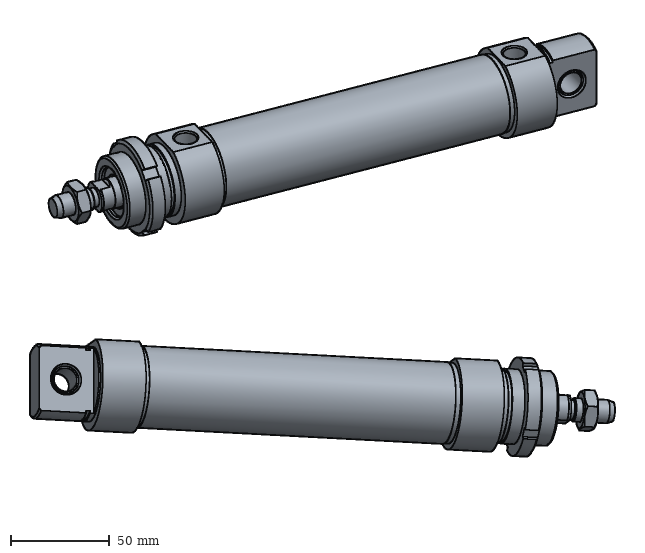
import cadquery as cq
import math


thread_end_chamfer = 3.0
thread_start_y = 21.0
rod_shoulder_y = 23.7
flats_front_y = 24.9
flats_back_y = 31.4
collar_front_y = 33.0
front_cap_y = 63.0
front_cap_length = 22.0
rear_cap_y = 250.5
rear_cap_length = 22.6
overall_length = 302.5
eye_hole_setback = 14.0

front_cap_back_y = front_cap_y + front_cap_length
rear_cap_back_y = rear_cap_y + rear_cap_length
eye_hole_y = overall_length - eye_hole_setback

tube_diameter = 41.6
crimp_diameter = 41.0
crimp_length = 2.6
cap_diameter = 47.0
port_flat_height = 21.3

collar_diameter = 38.0
collar_chamfer = 1.0
groove_diameter = 36.0
groove_width = 2.0
front_groove_offset = 3.5
rear_groove_offset = 2.8

recess_diameter = 26.0
recess_chamfer = 1.0
recess_depth = 2.5
seal_seat_diameter = 18.0
seal_seat_depth = 2.0

port_diameter = 11.45
port_mouth_diameter = 13.0
port_mouth_chamfer = (port_mouth_diameter - port_diameter) / 2
front_port_offset = 12.0
rear_port_offset = 12.5
front_port_y = front_cap_y + front_port_offset
rear_port_y = rear_cap_back_y - rear_port_offset
rear_port_depth = 10.0
front_port_floor = 4.0
drill_point_angle = 118.0

eye_thickness = 18.0
eye_base_thickness = 0.9
eye_hole_diameter = 12.0
eye_mouth_diameter = 16.0
eye_step_diameter = 14.0
eye_mouth_chamfer = (eye_mouth_diameter - eye_step_diameter) / 2

rod_diameter = 16.0
wrench_zone_diameter = 15.5
flats_across = 13.0
tip_diameter = 10.0
neck_diameter = 10.0
thread_root_diameter = 10.65
thread_run_in = 0.6
thread_diameter = 12.0
rod_back_y = front_cap_back_y

ring_nut_diameter = 50.0
ring_nut_front_y = 43.0
ring_nut_thickness = 8.0
ring_nut_face_diameter = 46.6
ring_nut_chamfer_length = 1.0
ring_nut_slot_count = 4
ring_nut_slot_width = 5.5
ring_nut_slot_floor = 23.0

hex_across_flats = 19.0
hex_front_y = 9.9
hex_thickness = 7.0
hex_face_diameter = 18.5
hex_chamfer_angle = 30.0
hex_sides = 6


def turned(profile):
    """Revolve (radius, y) points, closed along the Y axis, into a solid of revolution."""
    return cq.Workplane("XY").polyline(profile).close().revolve(360, (0, 0), (0, 1))


def y_cylinder(diameter, start_y, end_y):
    """Cylinder on the part axis between two stations."""
    return cq.Workplane("XZ", origin=(0, start_y, 0)).circle(diameter / 2).extrude(start_y - end_y)


def groove(start_y):
    """Ring of material that a thread relief removes."""
    outer = y_cylinder(2 * collar_diameter, start_y, start_y + groove_width)
    return outer.cut(y_cylinder(groove_diameter, start_y, start_y + groove_width))


def port_drill(port_y, bottom_z):
    """Vertical port bore with a chamfered mouth at the flat and a drill point at the bottom."""
    radius = port_diameter / 2
    point_height = radius / math.tan(math.radians(drill_point_angle / 2))
    profile = [
        (0, port_flat_height),
        (port_mouth_diameter / 2, port_flat_height),
        (radius, port_flat_height - port_mouth_chamfer),
        (radius, bottom_z),
        (0, bottom_z - point_height),
    ]
    drill = cq.Workplane("XZ").polyline(profile).close().revolve(360, (0, 0), (0, 1))
    return drill.translate((0, port_y, 0))


def cap(start_y, length):
    """End cap with a flat on top for its port."""
    above_flat = cq.Workplane("XY").box(
        cap_diameter, length, cap_diameter, centered=(True, False, False)
    ).translate((0, start_y, port_flat_height))
    return y_cylinder(cap_diameter, start_y, start_y + length).cut(above_flat)


def rear_eye():
    """Rear lug: a chamfered round end flattened on both sides and cross-drilled."""
    lug = y_cylinder(collar_diameter, rear_cap_back_y, overall_length)
    lug = lug.faces(">Y").chamfer(collar_chamfer)
    lug = lug.cut(groove(rear_cap_back_y + rear_groove_offset))
    side = cq.Workplane("XY").box(
        collar_diameter, overall_length, 2 * collar_diameter, centered=(False, False, True)
    )
    flats_start_y = rear_cap_back_y + eye_base_thickness
    lug = lug.cut(side.translate((eye_thickness / 2, flats_start_y, 0)))
    lug = lug.cut(side.translate((-eye_thickness / 2 - collar_diameter, flats_start_y, 0)))
    half = eye_thickness / 2
    bore_profile = [
        (0, -half),
        (eye_mouth_diameter / 2, -half),
        (eye_step_diameter / 2, -half + eye_mouth_chamfer),
        (eye_hole_diameter / 2, -half + eye_mouth_chamfer),
        (eye_hole_diameter / 2, half - eye_mouth_chamfer),
        (eye_step_diameter / 2, half - eye_mouth_chamfer),
        (eye_mouth_diameter / 2, half),
        (0, half),
    ]
    bore = cq.Workplane("YX").polyline(bore_profile).close().revolve(360, (0, 0), (0, 1))
    return lug.cut(bore.translate((0, eye_hole_y, 0)))


def make_housing():
    """Tube, both end caps, threaded front collar and rear eye in one solid."""
    tube = y_cylinder(tube_diameter, front_cap_back_y + crimp_length, rear_cap_y - crimp_length)
    crimps = y_cylinder(crimp_diameter, front_cap_back_y, rear_cap_y)
    collar = y_cylinder(collar_diameter, collar_front_y, front_cap_y)
    collar = collar.faces("<Y").chamfer(collar_chamfer)
    collar = collar.cut(groove(front_cap_y - front_groove_offset - groove_width))

    body = tube.union(crimps).union(collar).union(rear_eye())
    body = body.union(cap(front_cap_y, front_cap_length)).union(cap(rear_cap_y, rear_cap_length))

    recess_radius = recess_diameter / 2
    recess_floor_y = collar_front_y + recess_depth
    recess = turned([
        (0, collar_front_y),
        (recess_radius + recess_chamfer, collar_front_y),
        (recess_radius, collar_front_y + recess_chamfer),
        (recess_radius, recess_floor_y),
        (seal_seat_diameter / 2, recess_floor_y),
        (seal_seat_diameter / 2, recess_floor_y + seal_seat_depth),
        (0, recess_floor_y + seal_seat_depth),
    ])
    body = body.cut(recess).cut(y_cylinder(rod_diameter, collar_front_y, rod_back_y))
    body = body.cut(port_drill(front_port_y, front_port_floor))
    return body.cut(port_drill(rear_port_y, port_flat_height - rear_port_depth))


def make_rod():
    """Piston rod with two wrench flats, a thread relief and a threaded tip."""
    rod_radius = rod_diameter / 2
    zone_radius = wrench_zone_diameter / 2
    neck_radius = neck_diameter / 2
    tip_radius = tip_diameter / 2
    root_radius = thread_root_diameter / 2
    thread_radius = thread_diameter / 2
    rod = turned([
        (0, 0),
        (tip_radius, 0),
        (thread_radius, thread_end_chamfer),
        (thread_radius, thread_start_y - thread_run_in),
        (root_radius, thread_start_y),
        (neck_radius, thread_start_y),
        (neck_radius, rod_shoulder_y),
        (rod_radius, rod_shoulder_y),
        (rod_radius, flats_front_y),
        (zone_radius, flats_front_y),
        (zone_radius, flats_back_y),
        (rod_radius, flats_back_y),
        (rod_radius, rod_back_y),
        (0, rod_back_y),
    ])
    flat_depth = (rod_diameter - flats_across) / 2
    milled = (
        cq.Workplane("YZ")
        .polyline([
            (rod_shoulder_y, flats_across / 2),
            (flats_back_y - flat_depth, flats_across / 2),
            (flats_back_y, rod_radius),
            (rod_shoulder_y, rod_radius),
        ])
        .close()
        .extrude(rod_radius, both=True)
    )
    return rod.cut(milled).cut(milled.mirror("XY"))


def make_ring_nut():
    """Slotted round nut on the front collar, chamfered at its front rim."""
    outer = ring_nut_diameter / 2
    inner = collar_diameter / 2
    back_y = ring_nut_front_y + ring_nut_thickness
    nut = turned([
        (inner, ring_nut_front_y),
        (ring_nut_face_diameter / 2, ring_nut_front_y),
        (outer, ring_nut_front_y + ring_nut_chamfer_length),
        (outer, back_y),
        (inner, back_y),
    ])
    slot = cq.Workplane("XY").box(
        ring_nut_slot_width, ring_nut_thickness, outer, centered=(True, False, False)
    ).translate((0, ring_nut_front_y, ring_nut_slot_floor))
    pitch = 360 / ring_nut_slot_count
    for index in range(ring_nut_slot_count):
        nut = nut.cut(slot.rotate((0, 0, 0), (0, 1, 0), pitch / 2 + index * pitch))
    return nut


def make_hex_nut():
    """Hexagon nut on the rod thread, chamfered at both faces, with flats facing up and down."""
    across_corners = hex_across_flats / math.cos(math.pi / hex_sides)
    back_y = hex_front_y + hex_thickness
    nut = (
        cq.Workplane("XZ", origin=(0, back_y, 0))
        .polygon(hex_sides, across_corners)
        .circle(thread_diameter / 2)
        .extrude(hex_thickness)
    )
    corner_radius = across_corners / 2
    face_radius = hex_face_diameter / 2
    chamfer_length = (corner_radius - face_radius) * math.tan(math.radians(hex_chamfer_angle))
    blank = turned([
        (0, hex_front_y),
        (face_radius, hex_front_y),
        (corner_radius, hex_front_y + chamfer_length),
        (corner_radius, back_y - chamfer_length),
        (face_radius, back_y),
        (0, back_y),
    ])
    return nut.intersect(blank)


housing = make_housing()
rod = make_rod()
ring_nut = make_ring_nut()
hex_nut = make_hex_nut()

result = cq.Compound.makeCompound([housing.val(), rod.val(), ring_nut.val(), hex_nut.val()])